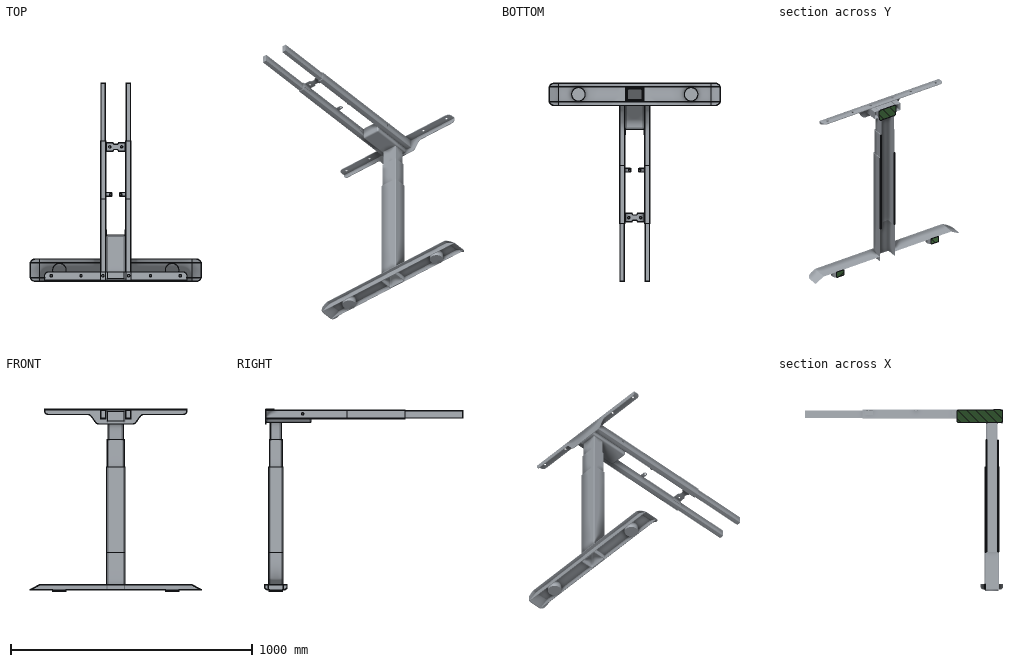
import cadquery as cq

total_height = 755.0
total_depth = 822.0
sheet = 3.0

foot_length = 712.0
foot_width = 94.0
foot_top = 29.0
foot_bottom = 6.0
foot_ridge_half = 315.0
foot_corner_radius = 25.0
foot_sheet = 2.0

pad_diameter = 56.0
pad_spacing = 467.0

column_width = 77.0
column_depth = 60.0
column_wall = 3.0
column_corner_radius = 3.0
outer_top = 515.5
middle_top = 629.0
middle_bottom = 162.0

rail_width = 24.0
rail_height = 37.0
rail_wall = 3.0
rail_edge_radius = 2.0
rail_gap = 80.5
rail_end = 535.0
extension_start = 295.0
rail_hole_diameter = 10.0
rail_hole_y = 111.0
rail_hole_drop = 16.5

bracket_front = -43.5
bracket_length = 590.0
flange_depth = 37.0
flange_corner_radius = 18.0
bend_radius = 3.0
wing_height = 22.0
wing_corner_radius = 15.0
plate_height = 62.0
plate_bottom_half = 79.0
plate_shoulder_half = 107.0
plate_blend_radius = 20.0
bracket_hole_diameter = 10.0
bracket_hole_offsets = (53.5, 144.0, 267.0)
bracket_hole_y = -23.0

housing_back = 146.0
housing_bottom = 699.0
housing_fillet = 6.5
ear_length = 20.0
ear_height = 16.5
ear_thickness = 2.5

insert_drop = 2.5
cross_y = 511.0
cross_width = 36.0
cross_flange_height = 20.0
cross_hole_diameter = 8.0
cross_hole_spacing = 49.0
notch_outer_width = 25.0
notch_inner_width = 15.0
notch_depth = 6.5
tab_y = 314.0
tab_width = 17.0
tab_corner_radius = 6.5
tab_hole_inset = 19.0
tab_hole_diameter = 8.0

foot_underside = foot_top - foot_sheet
bracket_back = bracket_front + sheet
rail_top = total_height - sheet
rail_x = (rail_gap + rail_width) / 2
extension_end = total_depth - foot_width / 2
insert_top = rail_top - insert_drop


def box(x_range, y_range, z_range):
    """Axis-aligned block between pairs of coordinates."""
    return (
        cq.Workplane("XY")
        .box(
            x_range[1] - x_range[0],
            y_range[1] - y_range[0],
            z_range[1] - z_range[0],
            centered=False,
        )
        .translate((x_range[0], y_range[0], z_range[0]))
    )


def column_bar(inset, bottom, top):
    """Solid upright bar with rounded edges, smaller than the outer stage by `inset` all round."""
    return (
        cq.Workplane("XY")
        .workplane(offset=bottom)
        .rect(column_width - 2 * inset, column_depth - 2 * inset)
        .extrude(top - bottom)
        .edges("|Z")
        .fillet(column_corner_radius)
    )


def column_stage(number, bottom, top):
    """Tube number 0, 1 or 2 of the column, counted from the largest."""
    bore = column_bar((number + 1) * column_wall, bottom, top)
    return column_bar(number * column_wall, bottom, top).cut(bore)


def rail_bar(x, inset, start, end):
    """Solid bar along Y, smaller than the outer rail by `inset` all round."""
    half = rail_width / 2 - inset
    return box((x - half, x + half), (start, end), (rail_top - rail_height + inset, rail_top - inset))


def make_foot():
    """Sheet with two sloping ends, stiffened by two webs that hold the column between them."""
    half = foot_length / 2
    profile = (
        cq.Workplane("XZ")
        .polyline(
            [
                (-half, foot_bottom),
                (-foot_ridge_half, foot_top),
                (foot_ridge_half, foot_top),
                (half, foot_bottom),
            ]
        )
        .close()
        .extrude(foot_width / 2, both=True)
    )
    plan = (
        cq.Workplane("XY")
        .rect(foot_length, foot_width)
        .extrude(foot_top)
        .edges("|Z")
        .fillet(foot_corner_radius)
    )
    solid = profile.intersect(plan)
    under_sheet = solid.translate((0, 0, -foot_sheet))
    web_outer = column_depth / 2 + foot_sheet
    webs = box((-half, half), (-web_outer, web_outer), (0, foot_top)).cut(
        box((-half, half), (-column_depth / 2, column_depth / 2), (0, foot_top))
    )
    foot = solid.cut(under_sheet.cut(webs))
    return foot.cut(column_bar(0, foot_bottom, foot_top))


def make_pad(x):
    """Round pad under the foot's top sheet."""
    return (
        cq.Workplane("XY")
        .circle(pad_diameter / 2)
        .extrude(foot_underside)
        .translate((x, 0, 0))
    )


def make_extension(x):
    """Extension bar sliding inside an outer rail."""
    return rail_bar(x, rail_wall, extension_start, extension_end)


def make_outer_rail(side):
    """Outer rail tube with a round hole in its outward wall; `side` is -1 or 1."""
    x = side * rail_x
    tube = rail_bar(x, 0, bracket_back, rail_end).edges("|Y").fillet(rail_edge_radius)
    tube = tube.cut(rail_bar(x, rail_wall, bracket_back, rail_end))
    hole = (
        cq.Workplane("YZ")
        .center(rail_hole_y, rail_top - rail_hole_drop)
        .circle(rail_hole_diameter / 2)
        .extrude(side * (rail_x + rail_width))
    )
    inner_part = box((-rail_x, rail_x), (bracket_back, rail_end), (0, total_height))
    return tube.cut(hole.cut(inner_part))


def make_bracket():
    """Folded front bracket: a shaped upright plate with a drilled flange back from its top edge."""
    half = bracket_length / 2
    wing_bottom = total_height - wing_height
    plate_bottom = total_height - plate_height
    flange_back = bracket_front + flange_depth
    block = box((-half, half), (bracket_front, flange_back), (plate_bottom, total_height))
    block = block.edges("|X and >Z and <Y").fillet(bend_radius)
    inside = box((-half, half), (bracket_back, total_depth), (0, rail_top))
    outline = (
        cq.Workplane("XZ", origin=(0, total_depth / 2, 0))
        .polyline(
            [
                (-half, total_height),
                (half, total_height),
                (half, wing_bottom),
                (plate_shoulder_half, wing_bottom),
                (plate_bottom_half, plate_bottom),
                (-plate_bottom_half, plate_bottom),
                (-plate_shoulder_half, wing_bottom),
                (-half, wing_bottom),
            ]
        )
        .close()
        .extrude(total_depth)
    )
    outline = outline.edges("|Y and (not <X) and (not >X)").fillet(plate_blend_radius)
    outline = outline.edges("|Y and (<X or >X) and (not >Z)").fillet(wing_corner_radius)
    bracket = block.cut(inside).intersect(outline)
    bracket = bracket.edges("|Z and >Y").fillet(flange_corner_radius)
    holes = (
        cq.Workplane("XY")
        .workplane(offset=rail_top)
        .pushPoints([(s * x, bracket_hole_y) for x in bracket_hole_offsets for s in (-1, 1)])
        .circle(bracket_hole_diameter / 2)
        .extrude(sheet)
    )
    return bracket.cut(holes)


def make_housing():
    """Rounded gearbox block flush with the rails' top, with two thin ears along the rails behind it."""
    half = rail_gap / 2
    housing = (
        box((-half, half), (bracket_back, housing_back), (housing_bottom, rail_top))
        .edges()
        .fillet(housing_fillet)
    )
    ear_z = (rail_top - housing_fillet - ear_height, rail_top - housing_fillet)
    ear_y = (housing_back - housing_fillet - ear_thickness, housing_back + ear_length)
    housing = housing.union(box((-half, ear_thickness - half), ear_y, ear_z))
    return housing.union(box((half - ear_thickness, half), ear_y, ear_z))


def make_cross_plate():
    """Notched plate joining the rails, folded down against each rail."""
    half = rail_gap / 2
    edge = cross_width / 2
    y_range = (cross_y - edge, cross_y + edge)
    plate = box((-half, half), y_range, (insert_top - cross_flange_height, insert_top))
    plate = plate.cut(box((sheet - half, half - sheet), y_range, (0, insert_top - sheet)))
    for side in (-1, 1):
        notch = (
            cq.Workplane("XY")
            .polyline(
                [
                    (-notch_outer_width / 2, cross_y + side * edge),
                    (-notch_inner_width / 2, cross_y + side * (edge - notch_depth)),
                    (notch_inner_width / 2, cross_y + side * (edge - notch_depth)),
                    (notch_outer_width / 2, cross_y + side * edge),
                ]
            )
            .close()
            .extrude(total_height)
        )
        plate = plate.cut(notch)
    holes = (
        cq.Workplane("XY")
        .pushPoints([(s * cross_hole_spacing / 2, cross_y) for s in (-1, 1)])
        .circle(cross_hole_diameter / 2)
        .extrude(total_height)
    )
    return plate.cut(holes)


def make_tab(side):
    """Tab with rounded corners and a hole, on the inner face of one rail; `side` is -1 or 1."""
    rail_face = rail_gap / 2
    hole_x = rail_face - tab_hole_inset
    tip = hole_x - tab_corner_radius
    y_range = (tab_y - tab_width / 2, tab_y + tab_width / 2)
    tab = box((tip, rail_face), y_range, (insert_top - sheet, insert_top))
    tab = tab.edges("|Z and <X").fillet(tab_corner_radius)
    tab = tab.faces(">Z").workplane(origin=(hole_x, tab_y, 0)).hole(tab_hole_diameter)
    return tab if side > 0 else tab.mirror("YZ")


def make_frame():
    """Welded upper frame: bracket, housing, rails, cross plate, tabs and the inner column stage."""
    frame = make_bracket().union(make_housing()).union(make_cross_plate())
    for side in (-1, 1):
        frame = frame.union(make_outer_rail(side)).union(make_tab(side))
    return frame.union(column_stage(2, middle_bottom, housing_bottom))


foot = make_foot()
pads = [make_pad(side * pad_spacing / 2) for side in (-1, 1)]
outer_stage = column_stage(0, foot_bottom, outer_top)
middle_stage = column_stage(1, middle_bottom, middle_top)
frame = make_frame()
extensions = [make_extension(side * rail_x) for side in (-1, 1)]

result = cq.Compound.makeCompound(
    [
        foot.val(),
        *[pad.val() for pad in pads],
        outer_stage.val(),
        middle_stage.val(),
        frame.val(),
        *[extension.val() for extension in extensions],
    ]
)